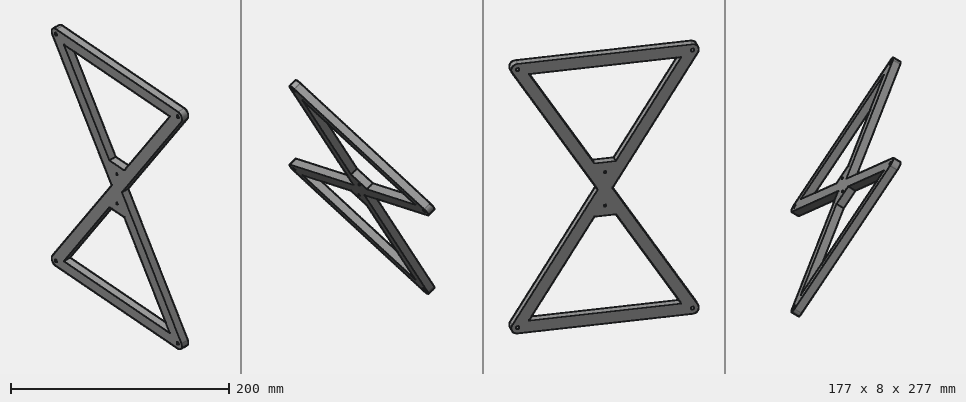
import cadquery as cq
import math

width = 177.0
height = 277.0
thickness = 8.0

bar_width = 12.0
corner_radius = bar_width / 2
corner_hole_diameter = 3.0
center_hole_diameter = 2.0
center_hole_z = 17.2
web_half_height = 27.5

corner_x = width / 2 - corner_radius
corner_z = height / 2 - corner_radius
diagonal_length = 2 * math.hypot(corner_x, corner_z)
diagonal_angle = math.degrees(math.atan2(corner_z, corner_x))

side_slope = corner_x / corner_z
side_offset = corner_radius * math.hypot(1, side_slope)
window_outer_z = corner_z - corner_radius


def plate():
    """Workplane on the front face, with local x and y along X and Z."""
    return cq.Workplane("XZ", origin=(0, -thickness / 2, 0))


def bar(center_z, center_distance, angle):
    """Round-ended bar between two hole centers."""
    return (
        plate()
        .center(0, center_z)
        .slot2D(center_distance + bar_width, bar_width, angle)
        .extrude(-thickness)
    )


def web(side):
    """Solid infill from the crossing to the narrow edge of a window."""
    half_width = side_slope * web_half_height
    edge_z = side * web_half_height
    return (
        plate()
        .polyline([(0, 0), (half_width, edge_z), (-half_width, edge_z)])
        .close()
        .extrude(-thickness)
    )


def window(side):
    """Trapezoidal opening bounded by the bars and the web."""
    inner_x = side_slope * web_half_height - side_offset
    outer_x = side_slope * window_outer_z - side_offset
    inner_z = side * web_half_height
    outer_z = side * window_outer_z
    return (
        plate()
        .polyline([(-inner_x, inner_z), (inner_x, inner_z), (outer_x, outer_z), (-outer_x, outer_z)])
        .close()
        .extrude(-thickness)
    )


def holes(points, diameter):
    """Through holes at the given X, Z points."""
    return plate().pushPoints(points).circle(diameter / 2).extrude(-thickness)


frame = bar(0, diagonal_length, diagonal_angle)
frame = frame.union(bar(0, diagonal_length, -diagonal_angle))
for side in (-1, 1):
    frame = frame.union(bar(side * corner_z, 2 * corner_x, 0))
    frame = frame.union(web(side))
for side in (-1, 1):
    frame = frame.cut(window(side))

corner_points = [(x, z) for x in (-corner_x, corner_x) for z in (-corner_z, corner_z)]
center_points = [(0, -center_hole_z), (0, center_hole_z)]
frame = frame.cut(holes(corner_points, corner_hole_diameter))
frame = frame.cut(holes(center_points, center_hole_diameter))

result = frame.clean()